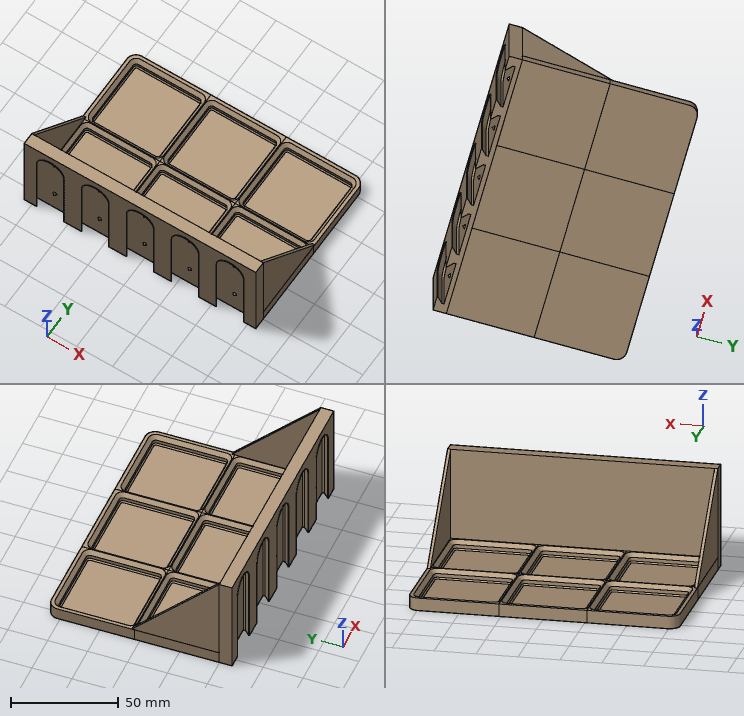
import cadquery as cq

length = 129.0
depth = 92.5
slot_pitch = 25.0
height = 2 * slot_pitch

plate_thickness = 6.5
slot_count = 5
slot_depth = 4.1
mouth_radius = 7.6
undercut_radius = 10.2
mouth_land = 0.44
undercut_step = undercut_radius - mouth_radius
bump_radius = 1.0
bump_height = bump_radius
bump_levels = [slot_pitch / 2, height - slot_pitch / 2]
slot_top_center = bump_levels[-1]

columns = 3
rows = 2
edge_margin = 1.5
cell = (length - 2 * edge_margin) / columns
tile_height = 6.2
outer_radius = 5.0
plate_margin = depth - plate_thickness - rows * cell - edge_margin

ridge_half_width = 0.25
pocket_radius = 3.7
rim_slope = 1.9
wall_height = 1.8
foot_slope = 0.7
flank_angle = 45

gusset_thickness = edge_margin
gusset_leg = height - tile_height


def slot_cutter(center_x):
    """Undercut slot with a round top, open at the lower edge of the plate."""
    half_profile = [
        (0, 0),
        (mouth_radius, 0),
        (mouth_radius, mouth_land),
        (undercut_radius, mouth_land + undercut_step),
        (undercut_radius, slot_depth),
        (0, slot_depth),
    ]
    full_profile = half_profile[1:-1] + [(-x, y) for x, y in reversed(half_profile[1:-1])]
    round_top = (
        cq.Workplane("XY").polyline(half_profile).close()
        .revolve(360, (0, 0, 0), (0, 1, 0))
        .translate((center_x, 0, slot_top_center))
    )
    run = (
        cq.Workplane("XY").polyline(full_profile).close()
        .extrude(slot_top_center)
        .translate((center_x, 0, 0))
    )
    return run.union(round_top)


def locating_bump(center_x, center_z):
    """Small cone standing on the slot floor and pointing out of the slot."""
    cone = cq.Solid.makeCone(
        bump_radius, 0, bump_height,
        pnt=cq.Vector(center_x, slot_depth, center_z), dir=cq.Vector(0, -1, 0),
    )
    return cq.Workplane(cone)


def make_back_plate():
    plate = cq.Workplane("XY").box(length, plate_thickness, height, centered=(True, False, False))
    for index in range(slot_count):
        center_x = (index - (slot_count - 1) / 2) * slot_pitch
        plate = plate.cut(slot_cutter(center_x))
        for center_z in bump_levels:
            plate = plate.union(locating_bump(center_x, center_z))
    return plate


def pocket_layer(side, radius, top, layer_depth, taper):
    outline = cq.Sketch().rect(side, side).vertices().fillet(radius)
    return cq.Workplane("XY", origin=(0, 0, top)).placeSketch(outline).extrude(-layer_depth, taper=taper)


def make_pocket():
    """Stepped pocket, centred on Z and cut down from the tile top."""
    rim_side = cell - 2 * ridge_half_width
    wall_side = rim_side - 2 * rim_slope
    wall_radius = pocket_radius - rim_slope
    wall_top = tile_height - rim_slope
    foot_top = wall_top - wall_height
    rim = pocket_layer(rim_side, pocket_radius, tile_height, rim_slope, flank_angle)
    wall = pocket_layer(wall_side, wall_radius, wall_top, wall_height, 0)
    foot = pocket_layer(wall_side, wall_radius, foot_top, foot_slope, flank_angle)
    return rim.union(wall).union(foot)


def make_tile(column, row, pocket):
    left = -length / 2 + edge_margin + column * cell
    near = plate_thickness + plate_margin + row * cell
    right = left + cell
    far = near + cell
    pocket_center = (left + cell / 2, near + cell / 2, 0)

    if column == 0:
        left -= edge_margin
    if column == columns - 1:
        right += edge_margin
    if row == 0:
        near -= plate_margin
    if row == rows - 1:
        far += edge_margin

    tile = cq.Workplane("XY").box(right - left, far - near, tile_height, centered=False)
    tile = tile.translate((left, near, 0))
    if row == rows - 1 and column == 0:
        tile = tile.edges("|Z and <X and >Y").fillet(outer_radius)
    if row == rows - 1 and column == columns - 1:
        tile = tile.edges("|Z and >X and >Y").fillet(outer_radius)
    return tile.cut(pocket.translate(pocket_center))


def make_gusset(left):
    """45 degree triangular side wall between the tray and the back plate."""
    return (
        cq.Workplane("YZ", origin=(left, 0, 0))
        .moveTo(plate_thickness, tile_height)
        .lineTo(plate_thickness + gusset_leg, tile_height)
        .lineTo(plate_thickness, height)
        .close()
        .extrude(gusset_thickness)
    )


back_plate = make_back_plate()
tile_pocket = make_pocket()
tiles = [make_tile(column, row, tile_pocket) for row in range(rows) for column in range(columns)]
gussets = [make_gusset(left) for left in (-length / 2, length / 2 - gusset_thickness)]

result = cq.Compound.makeCompound(
    [back_plate.val()] + [tile.val() for tile in tiles] + [gusset.val() for gusset in gussets]
)